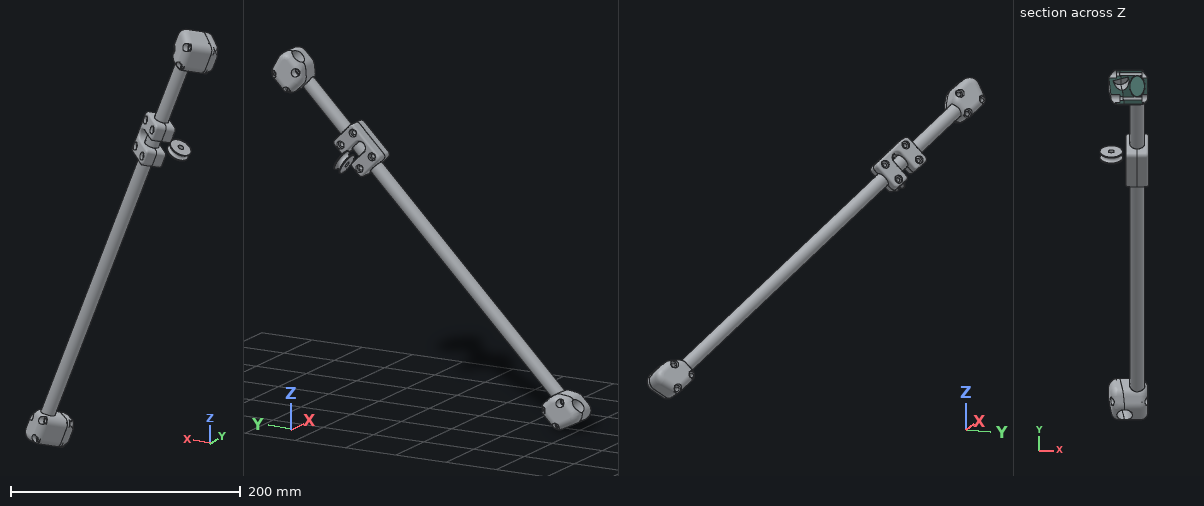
import cadquery as cq
import math

ASSEMBLY_CENTER_X = 11.255
FAR = 100.0
BORE_LEAD_IN = 1.0

ROD_DIA = 13.0
ROD_LENGTH = 400.0

BOLT_Y = 8.7

CLAMP_INNER_X = 175.6
CLAMP_OUTER_X = 202.0
CLAMP_BOTTOM_Y = -12.7
CLAMP_TOP_Y = 15.1
CLAMP_OUTER_LEAN = 19.0
CLAMP_BACK_Z = -9.3
SLOPE_START_Y = 6.5
SLOPE_LENGTH_X = 11.5
CLAMP_OUTER_RADIUS = 8.77
CLAMP_SLOPE_RADIUS = 9.2
CLAMP_BOTTOM_RADIUS = 6.6
CLAMP_RIM_RADIUS = 6.3
CLAMP_BORE_DIA = 13.2
CROSS_TILT = 10.0
CROSS_X = 197.0
CROSS_Z = 13.5
CROSS_FLOOR_Y = -4.5
CAP_THICKNESS = 10.3

CLAMP_BOLTS = [(180.0, -BOLT_Y), (198.9, -BOLT_Y), (186.3, BOLT_Y)]
CLAMP_BOLT_DIA = 4.2
CAP_BOLT_DIA = 4.6
CLAMP_HEAD_DIA = 7.0
CAP_HEAD_FLOOR = 3.0
NUT_DEPTH = 5.0

SLIDER_X = -101.45
SLIDER_LENGTH = 41.0
SLIDER_HEIGHT = 28.4
SLIDER_HALF_WIDTH = 10.0
SLIDER_CORNER_RADIUS = 3.5
SLIDER_RIM_RADIUS = 2.0
SLIDER_BOLT_SPACING = 26.7
SLIDER_BOLT_DIA = 4.0
SLIDER_HEAD_DIA = 7.0
SLIDER_HEAD_DEPTH = 3.0
SLOT_WIDTH = 10.0
SLOT_TOP_Y = 10.0
SLOT_MOUTH_RADIUS = 2.5

PULLEY_DIA = 20.0
PULLEY_BORE_DIA = 5.0
PULLEY_THICKNESS = 7.0
PULLEY_FLANGE = 1.0
PULLEY_GROOVE_DEPTH = 2.5
PULLEY_TILT = 15.0
PULLEY_CENTER = (-99.4, -8.9, 2 * ASSEMBLY_CENTER_X)


def x_cylinder(diameter, x_start, x_end):
    return cq.Workplane("YZ", origin=(x_start, 0, 0)).circle(diameter / 2).extrude(x_end - x_start)


def z_cylinder(diameter, x, y, z_start, z_end):
    return cq.Workplane("XY", origin=(x, y, z_start)).circle(diameter / 2).extrude(z_end - z_start)


def tilt_to_cross_bore(shape):
    """Move a shape from the origin to the tilted axis of the cross bore."""
    tilted = shape.rotate((0, 0, 0), (1, 0, 0), -CROSS_TILT)
    return tilted.translate((CROSS_X, 0, CROSS_Z))


def cap_side_of_split(offset):
    """All space on the cap side of a plane parallel to the split and offset from it."""
    block = cq.Workplane("XY", origin=(0, 0, offset))
    return tilt_to_cross_bore(block.box(FAR, FAR, FAR, centered=(True, True, False)))


def clamp_blank():
    """Rounded outer shape of one end clamp, before it is split and bored."""
    lean = math.tan(math.radians(CLAMP_OUTER_LEAN))
    top_outer_x = CLAMP_OUTER_X + (CLAMP_TOP_Y - CLAMP_BOTTOM_Y) * lean
    slope_start = (CLAMP_INNER_X, SLOPE_START_Y)
    slope_end = (CLAMP_INNER_X + SLOPE_LENGTH_X, CLAMP_TOP_Y)
    blank = (
        cq.Workplane("XY", origin=(0, 0, CLAMP_BACK_Z))
        .moveTo(CLAMP_INNER_X, CLAMP_BOTTOM_Y)
        .lineTo(CLAMP_OUTER_X, CLAMP_BOTTOM_Y)
        .lineTo(top_outer_x, CLAMP_TOP_Y)
        .lineTo(*slope_end)
        .lineTo(*slope_start)
        .close()
        .extrude(FAR / 2)
        .cut(cap_side_of_split(CAP_THICKNESS))
    )
    blank = blank.edges("|Z").edges(">X").fillet(CLAMP_OUTER_RADIUS)
    for x, y in (slope_end, slope_start):
        corner = cq.selectors.NearestToPointSelector((x, y, 0))
        blank = blank.edges(corner).fillet(CLAMP_SLOPE_RADIUS)
    blank = blank.edges("|Z").edges("<Y").fillet(CLAMP_BOTTOM_RADIUS)
    return blank.faces("<Z or >Z").edges().fillet(CLAMP_RIM_RADIUS)


def clamp_parts():
    """Body and cap of one end clamp, split along the axis of the cross bore."""
    blank = clamp_blank()
    cap_side = cap_side_of_split(0)
    rod_bore = x_cylinder(CLAMP_BORE_DIA, CLAMP_INNER_X - BORE_LEAD_IN, ROD_LENGTH / 2)
    cross_bore = tilt_to_cross_bore(
        cq.Workplane("XZ", origin=(0, CROSS_FLOOR_Y, 0))
        .circle(CLAMP_BORE_DIA / 2)
        .extrude(-FAR)
        .rotate((0, 0, 0), (0, 1, 0), 90)
    )
    body = blank.cut(cap_side).cut(rod_bore).cut(cross_bore)
    cap = blank.intersect(cap_side).cut(cross_bore)
    for x, y in CLAMP_BOLTS:
        split_z = CROSS_Z - y * math.tan(math.radians(CROSS_TILT))
        cap = cap.cut(z_cylinder(CAP_BOLT_DIA, x, y, 0, FAR))
        cap = cap.cut(z_cylinder(CLAMP_HEAD_DIA, x, y, split_z + CAP_HEAD_FLOOR, FAR))
        body = body.cut(z_cylinder(CLAMP_BOLT_DIA, x, y, -FAR, FAR))
        body = body.cut(z_cylinder(CLAMP_HEAD_DIA, x, y, -FAR, CLAMP_BACK_Z + NUT_DEPTH))
    return body, cap


def slider_half():
    """Outer half of the slider, with the round-ended pulley slot open at the bottom."""
    slot_side = SLOT_WIDTH / 2
    bottom_y = -SLIDER_HEIGHT / 2
    slot = (
        cq.Workplane("XY")
        .moveTo(-slot_side, -FAR)
        .lineTo(-slot_side, SLOT_TOP_Y - slot_side)
        .threePointArc((0, SLOT_TOP_Y), (slot_side, SLOT_TOP_Y - slot_side))
        .lineTo(slot_side, -FAR)
        .close()
        .extrude(SLIDER_HALF_WIDTH)
    )
    half = (
        cq.Workplane("XY")
        .box(SLIDER_LENGTH, SLIDER_HEIGHT, SLIDER_HALF_WIDTH, centered=(True, True, False))
        .edges("|Z")
        .fillet(SLIDER_CORNER_RADIUS)
        .cut(slot)
    )
    for x in (-slot_side, slot_side):
        mouth = cq.selectors.NearestToPointSelector((x, bottom_y, SLIDER_HALF_WIDTH / 2))
        half = half.edges(mouth).fillet(SLOT_MOUTH_RADIUS)
    half = half.faces(">Z").edges().fillet(SLIDER_RIM_RADIUS)
    half = half.cut(x_cylinder(ROD_DIA, -FAR, FAR))
    head_floor_z = SLIDER_HALF_WIDTH - SLIDER_HEAD_DEPTH
    for x in (-SLIDER_BOLT_SPACING / 2, SLIDER_BOLT_SPACING / 2):
        for y in (-BOLT_Y, BOLT_Y):
            half = half.cut(z_cylinder(SLIDER_BOLT_DIA, x, y, 0, FAR))
            half = half.cut(z_cylinder(SLIDER_HEAD_DIA, x, y, head_floor_z, FAR))
    return half.translate((SLIDER_X, 0, 0))


def pulley_wheel():
    """Wheel with a round rope groove, its axis slightly tilted from the rod."""
    side = PULLEY_THICKNESS / 2
    rim = PULLEY_DIA / 2
    bore = PULLEY_BORE_DIA / 2
    groove_side = side - PULLEY_FLANGE
    wheel = (
        cq.Workplane("XY")
        .moveTo(-side, bore)
        .lineTo(side, bore)
        .lineTo(side, rim)
        .lineTo(groove_side, rim)
        .threePointArc((0, rim - PULLEY_GROOVE_DEPTH), (-groove_side, rim))
        .lineTo(-side, rim)
        .close()
        .revolve(360, (0, 0, 0), (1, 0, 0))
    )
    return wheel.rotate((0, 0, 0), (0, 0, 1), PULLEY_TILT).translate(PULLEY_CENTER)


rod = x_cylinder(ROD_DIA, -ROD_LENGTH / 2, ROD_LENGTH / 2)
pulley = pulley_wheel()
clamp_body, clamp_cap = clamp_parts()
outer_slider = slider_half()

bodies = [rod, pulley]
bodies += [outer_slider, outer_slider.mirror("XY")]
for clamp_piece in (clamp_body, clamp_cap):
    bodies += [clamp_piece, clamp_piece.mirror("YZ")]

assembly_plane = cq.Plane(origin=(ASSEMBLY_CENTER_X, 0, 0), xDir=(0, -1, -1), normal=(-1, 0, 0))
placement = cq.Location(assembly_plane)
result = cq.Compound.makeCompound([body.solids().val().moved(placement) for body in bodies])